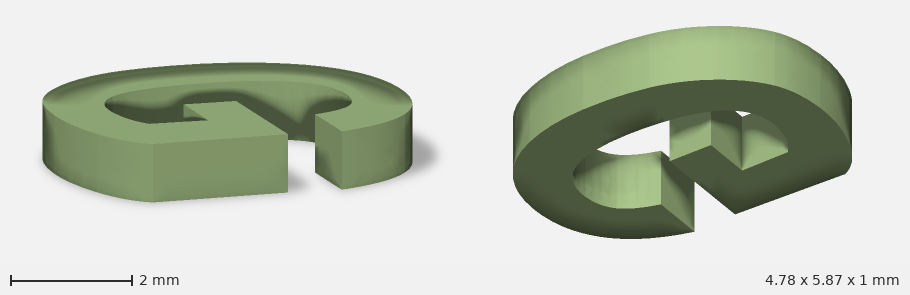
import cadquery as cq

thickness = 1.0

terminal_y = 1.04
bar_top_y = 0.16
bar_bottom_y = -0.715

arm_outer_corner = (2.39, terminal_y)
arm_inner_corner = (1.28, terminal_y)

bar_left_top = (0.03, bar_top_y)
bar_left_bottom = (-0.125, bar_bottom_y)
stem_inner_top = (0.91, bar_bottom_y)
stem_inner_foot = (0.725, -1.69)
stem_outer_foot = (1.866, -2.12)
stem_outer_top = (2.195, bar_top_y)

outer_bowl_controls = [
    (1.62, -2.485),
    (0.308, -2.952),
    (-1.026, -2.91),
    (-1.796, -2.445),
    (-2.354, -1.457),
    (-2.415, -0.243),
    (-2.11, 1.197),
    (-1.325, 2.403),
    (-0.126, 2.992),
    (1.397, 2.87),
    (2.305, 1.935),
]

counter_controls = [
    (1.228, 1.522),
    (0.842, 1.962),
    (-0.009, 2.011),
    (-0.687, 1.552),
    (-1.139, 0.503),
    (-1.287, -1.195),
    (-0.751, -2.005),
    (0.395, -1.949),
]


def midpoint(a, b):
    return ((a[0] + b[0]) / 2, (a[1] + b[1]) / 2)


def add_smooth_run(sketch, controls, end):
    """Continue the outline with quadratic curves that join tangentially midway between controls."""
    joints = [midpoint(a, b) for a, b in zip(controls, controls[1:])]
    for control, joint in zip(controls, joints + [end]):
        sketch = sketch.bezier([control, joint], includeCurrent=True)
    return sketch


def letter_outline():
    """Closed outline: outer bowl, arm end, counter, then the stem and crossbar."""
    sketch = cq.Workplane("XY").moveTo(*stem_outer_foot)
    sketch = add_smooth_run(sketch, outer_bowl_controls, arm_outer_corner)
    sketch = sketch.lineTo(*arm_inner_corner)
    sketch = add_smooth_run(sketch, counter_controls, stem_inner_foot)
    for corner in (stem_inner_top, bar_left_bottom, bar_left_top, stem_outer_top):
        sketch = sketch.lineTo(*corner)
    return sketch.close()


result = letter_outline().extrude(thickness)